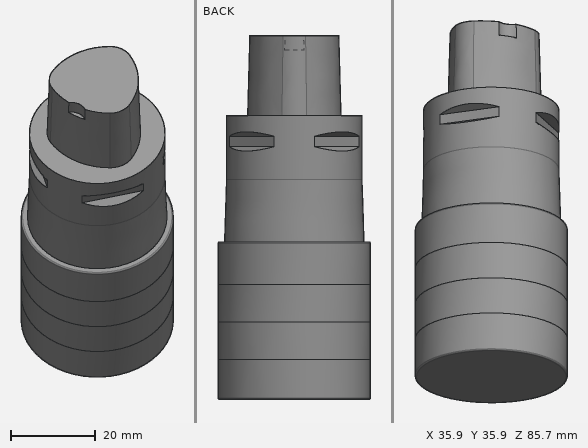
import cadquery as cq
import math

total_height = 85.7
shank_length = 18.85
flange_top = total_height - shank_length
neck_top = 51.85
stack_top = 37.1
ring_joints = [9.3, 18.2, 27.1]

ring_diameter = 35.9
ring_edge_fillet = 0.3
flange_diameter = 32.0
neck_base_diameter = 32.9

lobe_offset = 6.0
lobe_radius = 5.8
flank_radius = lobe_radius + math.sqrt(3) * lobe_offset
flank_distance = flank_radius - lobe_offset
lobe_angles = [90, 210, 330]
shank_inset = 0.5
shank_taper = math.degrees(math.atan2(shank_inset, shank_length))

scoop_radius = 3.4
scoop_height = 3.4
scoop_depth = 0.9
scoop_centre_y = -(flank_distance - shank_inset - scoop_depth + scoop_radius)

notch_count = 4
notch_first_angle = 45
notch_floor_distance = 14.1
notch_floor_height = 2.4
notch_flank_angle = 30
notch_centre_z = 60.8
notch_outer_distance = ring_diameter / 2


def polar(radius, angle, centre=(0, 0)):
    """Point at a radius and an angle in degrees from a centre."""
    turn = math.radians(angle)
    return (centre[0] + radius * math.cos(turn), centre[1] + radius * math.sin(turn))


def make_shank():
    """Tapered shank with three rounded lobes joined by gently curved flanks."""
    start = polar(lobe_radius, lobe_angles[0] - 30, polar(lobe_offset, lobe_angles[0]))
    outline = cq.Workplane("XY").workplane(offset=flange_top).moveTo(*start)
    for angle in lobe_angles:
        lobe_centre = polar(lobe_offset, angle)
        lobe_middle = polar(lobe_radius, angle, lobe_centre)
        lobe_end = polar(lobe_radius, angle + 30, lobe_centre)
        outline = outline.threePointArc(lobe_middle, lobe_end)

        flank_angle = angle + 60
        flank_centre = polar(lobe_offset, flank_angle + 180)
        flank_middle = polar(flank_radius, flank_angle, flank_centre)
        flank_end = polar(flank_radius, flank_angle + 30, flank_centre)
        outline = outline.threePointArc(flank_middle, flank_end)
    return outline.close().extrude(shank_length, taper=shank_taper)


def make_scoop():
    """Upright round cutter for the scoop in the shank."""
    return (
        cq.Workplane("XY")
        .workplane(offset=total_height - scoop_height)
        .center(0, scoop_centre_y)
        .circle(scoop_radius)
        .extrude(scoop_height)
    )


def make_notch(angle):
    """Straight cutter with a flat floor and flared flanks."""
    floor_half = notch_floor_height / 2
    flare = (notch_outer_distance - notch_floor_distance) * math.tan(math.radians(notch_flank_angle))
    outer_half = floor_half + flare
    return (
        cq.Workplane("XZ")
        .moveTo(notch_floor_distance, notch_centre_z - floor_half)
        .lineTo(notch_outer_distance, notch_centre_z - outer_half)
        .lineTo(notch_outer_distance, notch_centre_z + outer_half)
        .lineTo(notch_floor_distance, notch_centre_z + floor_half)
        .close()
        .extrude(flange_diameter / 2, both=True)
        .rotate((0, 0, 0), (0, 0, 1), angle)
    )


def make_holder():
    """Conical neck, cylindrical flange with notches, and lobed shank."""
    neck_and_flange = (
        cq.Workplane("XZ")
        .moveTo(0, stack_top)
        .lineTo(neck_base_diameter / 2, stack_top)
        .lineTo(flange_diameter / 2, neck_top)
        .lineTo(flange_diameter / 2, flange_top)
        .lineTo(0, flange_top)
        .close()
        .revolve(360, (0, 0, 0), (0, 1, 0))
    )
    holder = neck_and_flange.union(make_shank()).cut(make_scoop())
    for index in range(notch_count):
        holder = holder.cut(make_notch(notch_first_angle + index * 360 / notch_count))
    return holder


def make_ring(bottom, top):
    """One disc of the stack; only the outer ends of the stack are rounded."""
    ring = (
        cq.Workplane("XY")
        .workplane(offset=bottom)
        .circle(ring_diameter / 2)
        .extrude(top - bottom)
    )
    if bottom == 0:
        ring = ring.faces("<Z").edges().fillet(ring_edge_fillet)
    if top == stack_top:
        ring = ring.faces(">Z").edges().fillet(ring_edge_fillet)
    return ring


holder = make_holder()

ring_levels = [0, *ring_joints, stack_top]
rings = []
for bottom, top in zip(ring_levels, ring_levels[1:]):
    rings.append(make_ring(bottom, top).val())

result = cq.Compound.makeCompound([holder.val(), *rings])